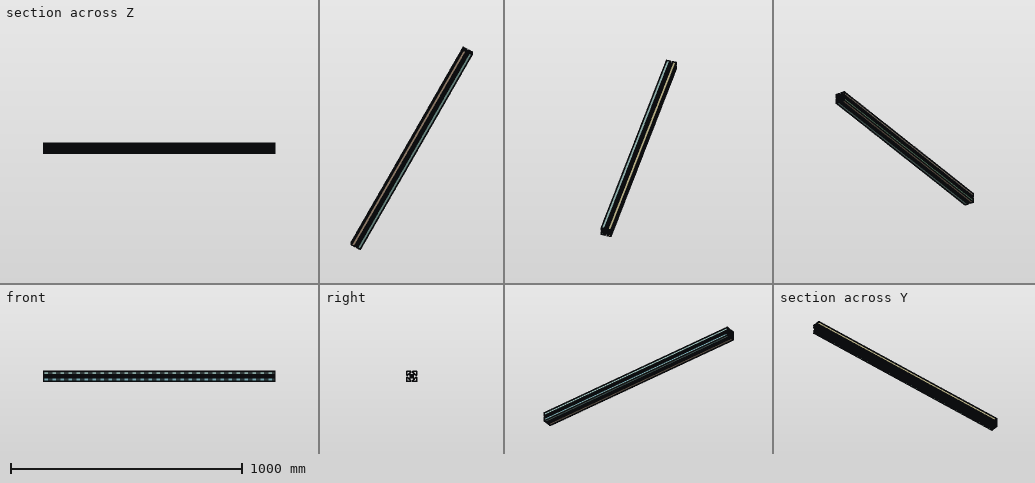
import cadquery as cq
import math

length = 1000.0
side = 45.0
half = side / 2
corner_radius = 2.5

mouth_width = 10.0
mouth_chamfer = 1.42
throat_width = mouth_width - 2 * mouth_chamfer
throat_depth = 5.0
cavity_width = 18.6
cavity_wall_start = 9.7
cavity_wall_end = 11.2
floor_width = 10.8
floor_depth = 14.5

floor_groove_width = 2.2
floor_groove_depth = 0.8

hollow_outer_wall = 1.9
hollow_side_offset = 8.0
hollow_chord_sum = 24.0

bore_diameter = 6.78

quarter_turns = [90 * i for i in range(4)]


def section():
    """Workplane across the bar at x = 0: local x is Y, local y is Z."""
    return cq.Workplane("YZ")


def turned(points, angle):
    """Points turned about the bar axis."""
    c = round(math.cos(math.radians(angle)))
    s = round(math.sin(math.radians(angle)))
    return [(c * y - s * z, s * y + c * z) for y, z in points]


def blank():
    return section().rect(side, side).extrude(length).edges("|X").fillet(corner_radius)


def slot_outline():
    """Slot in the top face, from the mouth down one side and up the other."""
    width_and_depth = [
        (mouth_width, 0),
        (throat_width, mouth_chamfer),
        (throat_width, throat_depth),
        (cavity_width, cavity_wall_start),
        (cavity_width, cavity_wall_end),
        (floor_width, floor_depth),
        (floor_groove_width, floor_depth),
    ]
    right_side = [(width / 2, half - depth) for width, depth in width_and_depth]
    groove_bottom = (0, half - floor_depth - floor_groove_depth)
    left_side = [(-y, z) for y, z in reversed(right_side)]
    return right_side + [groove_bottom] + left_side


def hollow_outline():
    """Five-sided hollow in the +Y +Z corner, symmetric about the diagonal."""
    outer = half - hollow_outer_wall
    chord_end = hollow_chord_sum - hollow_side_offset
    return [
        (outer, outer),
        (hollow_side_offset, outer),
        (hollow_side_offset, chord_end),
        (chord_end, hollow_side_offset),
        (outer, hollow_side_offset),
    ]


def cut_around(body, outline):
    """Cut an outline through the full length at each quarter turn."""
    for angle in quarter_turns:
        body = body.cut(section().polyline(turned(outline, angle)).close().extrude(length))
    return body


def bore():
    return section().circle(bore_diameter / 2).extrude(length)


result = blank()
result = cut_around(result, slot_outline())
result = cut_around(result, hollow_outline())
result = result.cut(bore())